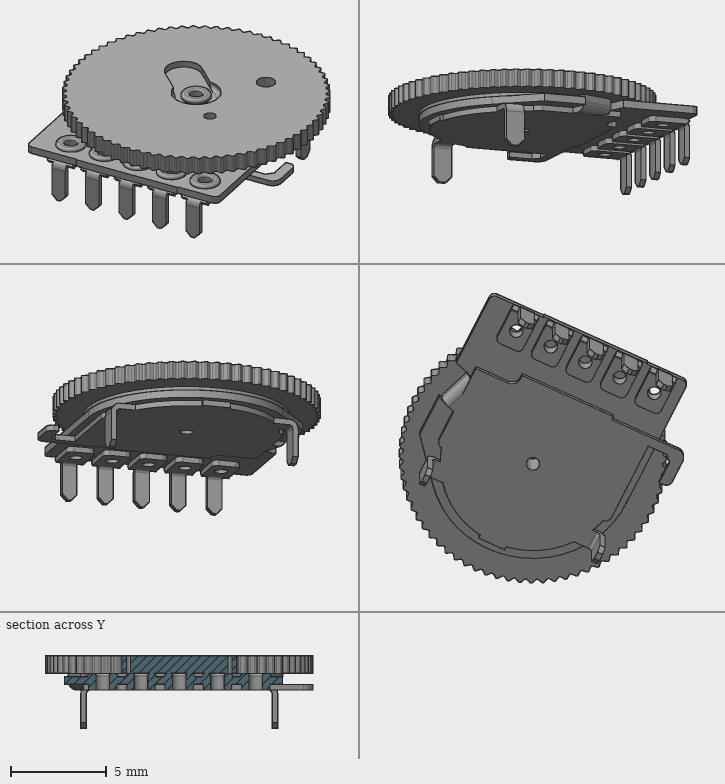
import cadquery as cq
import math

BOARD_THICKNESS = 0.4
GAP = 0.18
WHEEL_THICKNESS = 0.92
SHEET = 0.3
PIN_BOTTOM = -2.3
WHEEL_BOTTOM = BOARD_THICKNESS + GAP
WHEEL_TOP = WHEEL_BOTTOM + WHEEL_THICKNESS

WHEEL_RADIUS = 7.0
TOOTH_COUNT = 72
TOOTH_ROUNDING = 0.1
SPACER_RADIUS = 5.43

SLOT_ANGLE = 135.0
SLOT_LENGTH = 2.35
SLOT_RADIUS = 1.0
HUB_RADIUS = 1.3
HUB_FILLET = 0.23
RECESS_DEPTH = 0.35
HOLE_DEPTH = 0.58
LARGE_HOLE = (3.8, 45.0, 0.5)
SMALL_HOLE = (2.6, -45.0, 0.32)

BOARD_LEFT = -6.0
BOARD_RADIUS = 5.4
BOARD_TANGENT_ANGLE = 140.5
BOARD_FRONT = -7.5
BOARD_CORNER = 0.3
BOARD_LIP_FRONT = -7.55
BOARD_LIP_WIDTH = 6.0

EYELET_RADIUS = 0.8
EYELET_BORE = 0.35
EYELET_ROUNDING = 0.17
HUB_EYELET_HEIGHT = 0.33
HUB_EYELET_LOWER_ROUNDING = 0.15
EYELET_FLARE = 0.13
EYELET_ROW_Y = -6.3
TERMINAL_COUNT = 5
TERMINAL_PITCH = 2.0

TERMINAL_BEND = 0.43
TERMINAL_OUTER = 7.65
TERMINAL_WIDTH = 0.8
TERMINAL_TIP = 0.2
FOOT_WIDTH = 1.5
FOOT_REAR = 5.3
FOOT_CORNER = 0.3
SHOULDER_ANGLE = 45.0
SIDE_PIN_BEND = 0.5
SIDE_PIN_OUTER = 5.15
SIDE_PIN_INNER_END = 3.0
SIDE_PIN_Y = 2.5
SIDE_PIN_WIDTH = 1.0
SIDE_PIN_TIP = 0.4
TIP_HEIGHT = 0.3

FRAME_RADIUS = 4.85
FRAME_HALF_WIDTH = 5.0
FRAME_FRONT = -3.5
FRAME_SHOULDER_Y = 1.3
FRAME_SHOULDER_RADIUS = 0.4
FRONT_STEP_HALF_WIDTH = 2.65
FRONT_STEP_Y = -4.2
FRONT_STEP_FILLET = 0.5
REAR_STEP_HALF_WIDTH = 0.75
REAR_STEP_Y = 4.97
HOOK_FRONT = -4.0
HOOK_RIGHT = 7.0
HOOK_REAR = -1.9
HOOK_ARM_WIDTH = 0.6
HOOK_BAR_WIDTH = 0.5
HOOK_CHAMFER = 0.35
HOOK_FRONT_RADIUS = 0.5
HOOK_REAR_RADIUS = 0.35

TAB_ANGLE = 200.0
TAB_WIDTH = 1.9
TAB_OUTER = 5.84
TAB_BEND_OUTER = 0.5
NOTCH_WIDTH = 2.0


def polar(radius, angle):
    """Point at a distance from the origin in a direction given in degrees."""
    direction = math.radians(angle)
    return (radius * math.cos(direction), radius * math.sin(direction))


def cylinder(radius, bottom, top, center=(0, 0)):
    return cq.Workplane("XY", origin=(0, 0, bottom)).center(*center).circle(radius).extrude(top - bottom)


def block(x_min, x_max, y_min, y_max, z_min, z_max):
    box = cq.Workplane("XY").box(x_max - x_min, y_max - y_min, z_max - z_min, centered=False)
    return box.translate((x_min, y_min, z_min))


def turn(shape, angle):
    return shape.rotate((0, 0, 0), (0, 0, 1), angle)


def make_toothed_blank():
    half_pitch = math.pi / TOOTH_COUNT
    sharp_tip_radius = WHEEL_RADIUS + TOOTH_ROUNDING * (math.sqrt(2) - 1)
    sharp_root_radius = sharp_tip_radius / (math.cos(half_pitch) + math.sin(half_pitch))
    outline = []
    for tooth in range(TOOTH_COUNT):
        tip_angle = tooth * 360.0 / TOOTH_COUNT
        outline.append(polar(sharp_tip_radius, tip_angle))
        outline.append(polar(sharp_root_radius, tip_angle + 180.0 / TOOTH_COUNT))
    blank = cq.Workplane("XY", origin=(0, 0, WHEEL_BOTTOM)).polyline(outline).close().extrude(WHEEL_THICKNESS)
    return blank.edges("|Z").fillet(TOOTH_ROUNDING)


def make_wheel():
    floor = WHEEL_TOP - RECESS_DEPTH
    slot = block(0, SLOT_LENGTH, -SLOT_RADIUS, SLOT_RADIUS, floor, WHEEL_TOP)
    slot = slot.union(cylinder(SLOT_RADIUS, floor, WHEEL_TOP, (SLOT_LENGTH, 0)))
    hub = cylinder(HUB_RADIUS, floor, WHEEL_TOP).faces("<Z").edges().fillet(HUB_FILLET)
    wheel = make_toothed_blank().cut(turn(slot, SLOT_ANGLE)).cut(hub)
    for distance, angle, radius in (LARGE_HOLE, SMALL_HOLE):
        hole = cylinder(radius, WHEEL_TOP - HOLE_DEPTH, WHEEL_TOP, polar(distance, angle))
        wheel = wheel.cut(hole)
    return wheel.union(cylinder(SPACER_RADIUS, BOARD_THICKNESS, WHEEL_BOTTOM))


def make_board():
    tangent_x, tangent_y = polar(BOARD_RADIUS, BOARD_TANGENT_ANGLE)
    slope = -1 / math.tan(math.radians(BOARD_TANGENT_ANGLE))
    left_corner_y = tangent_y + slope * (BOARD_LEFT - tangent_x)
    arc_middle = polar(BOARD_RADIUS, BOARD_TANGENT_ANGLE / 2)
    board = (
        cq.Workplane("XY")
        .moveTo(BOARD_LEFT, BOARD_FRONT)
        .lineTo(BOARD_RADIUS, BOARD_FRONT)
        .lineTo(BOARD_RADIUS, 0)
        .threePointArc(arc_middle, (tangent_x, tangent_y))
        .lineTo(BOARD_LEFT, left_corner_y)
        .close()
        .extrude(BOARD_THICKNESS)
    )
    board = board.faces("<Y").edges("|Z").fillet(BOARD_CORNER)
    half_lip = BOARD_LIP_WIDTH / 2
    board = board.union(block(-half_lip, half_lip, BOARD_LIP_FRONT, BOARD_FRONT, 0, BOARD_THICKNESS))
    half_notch = NOTCH_WIDTH / 2
    notch_floor = TAB_OUTER - SHEET
    notch = block(notch_floor, notch_floor + NOTCH_WIDTH, -half_notch, half_notch, 0, BOARD_THICKNESS)
    return board.cut(turn(notch, TAB_ANGLE))


def make_eyelet(x, y, bottom, height):
    """Ring with a rounded outer edge and a flared bore mouth."""
    profile = (
        cq.Workplane("XZ")
        .moveTo(EYELET_BORE, 0)
        .lineTo(EYELET_RADIUS, 0)
        .lineTo(EYELET_RADIUS, height - EYELET_ROUNDING)
        .radiusArc((EYELET_RADIUS - EYELET_ROUNDING, height), -EYELET_ROUNDING)
        .lineTo(EYELET_BORE + EYELET_FLARE, height)
        .radiusArc((EYELET_BORE, height - EYELET_FLARE), -EYELET_FLARE)
        .close()
    )
    return profile.revolve(360, (0, 0), (0, 1)).translate((x, y, bottom))


def make_hub_eyelet():
    """Taller eyelet on the recess floor, with its rim rounded underneath as well."""
    eyelet = make_eyelet(0, 0, WHEEL_TOP - RECESS_DEPTH, HUB_EYELET_HEIGHT)
    lower_rim = cq.selectors.RadiusNthSelector(-1)
    return eyelet.faces("<Z").edges(lower_rim).fillet(HUB_EYELET_LOWER_ROUNDING)


def bend_profile(inner_end, outer, bend_radius, angle):
    """Sheet running out along +X at Z = 0 and turning down through the given angle."""
    bend_x = outer - bend_radius
    inner_radius = bend_radius - SHEET
    end = 90 - angle
    middle = 90 - angle / 2

    def on_bend(radius, direction):
        x, z = polar(radius, direction)
        return (bend_x + x, z - bend_radius)

    return (
        cq.Workplane("XZ")
        .moveTo(inner_end, 0)
        .lineTo(bend_x, 0)
        .threePointArc(on_bend(bend_radius, middle), on_bend(bend_radius, end))
        .lineTo(*on_bend(inner_radius, end))
        .threePointArc(on_bend(inner_radius, middle), (bend_x, -SHEET))
        .lineTo(inner_end, -SHEET)
        .close()
    )


def make_bent_pin(inner_end, outer, bend_radius, width, tip_width):
    """Pin that leaves along +X, bends down and ends in a chamfered tip."""
    pin = bend_profile(inner_end, outer, bend_radius, 90).extrude(width / 2, both=True)
    tip_start = PIN_BOTTOM + TIP_HEIGHT
    blade = (
        cq.Workplane("YZ", origin=(outer - SHEET, 0, 0))
        .polyline([
            (-width / 2, -bend_radius),
            (width / 2, -bend_radius),
            (width / 2, tip_start),
            (tip_width / 2, PIN_BOTTOM),
            (-tip_width / 2, PIN_BOTTOM),
            (-width / 2, tip_start),
        ])
        .close()
        .extrude(SHEET)
    )
    return pin.union(blade)


def make_terminal(x):
    foot = bend_profile(FOOT_REAR, TERMINAL_OUTER, TERMINAL_BEND, SHOULDER_ANGLE)
    foot = foot.extrude(FOOT_WIDTH / 2, both=True)
    foot = foot.faces("<X").edges("|Z").fillet(FOOT_CORNER)
    pin = make_bent_pin(-EYELET_ROW_Y, TERMINAL_OUTER, TERMINAL_BEND, TERMINAL_WIDTH, TERMINAL_TIP)
    return turn(foot.union(pin), -90).translate((x, 0, 0))


def make_hook():
    front_bar_top = HOOK_FRONT + HOOK_BAR_WIDTH
    arm_left = HOOK_RIGHT - HOOK_ARM_WIDTH
    hook = (
        cq.Workplane("XY", origin=(0, 0, -SHEET))
        .polyline([
            (0, HOOK_FRONT),
            (HOOK_RIGHT, HOOK_FRONT),
            (HOOK_RIGHT, HOOK_REAR),
            (arm_left, HOOK_REAR),
            (arm_left, front_bar_top + HOOK_CHAMFER),
            (arm_left - HOOK_CHAMFER, front_bar_top),
            (0, front_bar_top),
        ])
        .close()
        .extrude(SHEET)
    )
    hook = hook.edges("|Z and >X and <Y").fillet(HOOK_FRONT_RADIUS)
    return hook.edges("|Z and >X and >Y").fillet(HOOK_REAR_RADIUS)


def make_tab():
    bend_x = TAB_OUTER - TAB_BEND_OUTER
    bend_inner = TAB_BEND_OUTER - SHEET
    bend_z = bend_inner
    tab = (
        cq.Workplane("XZ")
        .moveTo(0, -SHEET)
        .lineTo(bend_x, -SHEET)
        .radiusArc((TAB_OUTER, bend_z), -TAB_BEND_OUTER)
        .lineTo(TAB_OUTER, WHEEL_BOTTOM)
        .lineTo(TAB_OUTER - SHEET, WHEEL_BOTTOM)
        .lineTo(TAB_OUTER - SHEET, bend_z)
        .radiusArc((bend_x, 0), bend_inner)
        .lineTo(0, 0)
        .close()
        .extrude(TAB_WIDTH / 2, both=True)
    )
    return turn(tab, TAB_ANGLE)


def make_frame():
    half = FRAME_HALF_WIDTH
    front_half = FRONT_STEP_HALF_WIDTH
    rear_half = REAR_STEP_HALF_WIDTH
    sides = block(-half, half, FRAME_FRONT, FRAME_SHOULDER_Y, -SHEET, 0)
    sides = sides.edges("|Z and >Y").fillet(FRAME_SHOULDER_RADIUS)
    sides = sides.union(block(-front_half, front_half, FRONT_STEP_Y, 0, -SHEET, 0))
    step_corners = cq.selectors.BoxSelector(
        (-front_half - SHEET, FRAME_FRONT - SHEET, -SHEET * 2),
        (front_half + SHEET, FRAME_FRONT + SHEET, SHEET),
    )
    sides = sides.edges("|Z").edges(step_corners).fillet(FRONT_STEP_FILLET)
    plate = cylinder(FRAME_RADIUS, -SHEET, 0)
    plate = plate.intersect(block(-half, half, FRAME_FRONT, half, -SHEET, 0))
    frame = plate.union(sides)
    frame = frame.union(block(-rear_half, rear_half, 0, REAR_STEP_Y, -SHEET, 0))
    side_pin = make_bent_pin(
        SIDE_PIN_INNER_END, SIDE_PIN_OUTER, SIDE_PIN_BEND, SIDE_PIN_WIDTH, SIDE_PIN_TIP
    )
    right_pin = side_pin.translate((0, SIDE_PIN_Y, 0))
    frame = frame.union(right_pin).union(right_pin.mirror("YZ"))
    return frame.union(make_hook()).union(make_tab())


def cut_bore(part, center, top):
    return part.cut(cylinder(EYELET_BORE, -SHEET, top, center))


part = make_board().union(make_frame()).union(make_wheel()).union(make_hub_eyelet())
part = cut_bore(part, (0, 0), WHEEL_TOP)

for index in range(TERMINAL_COUNT):
    terminal_x = (index - (TERMINAL_COUNT - 1) / 2) * TERMINAL_PITCH
    part = part.union(make_terminal(terminal_x))
    part = part.union(make_eyelet(terminal_x, EYELET_ROW_Y, BOARD_THICKNESS, GAP))
    part = cut_bore(part, (terminal_x, EYELET_ROW_Y), BOARD_THICKNESS)

result = part